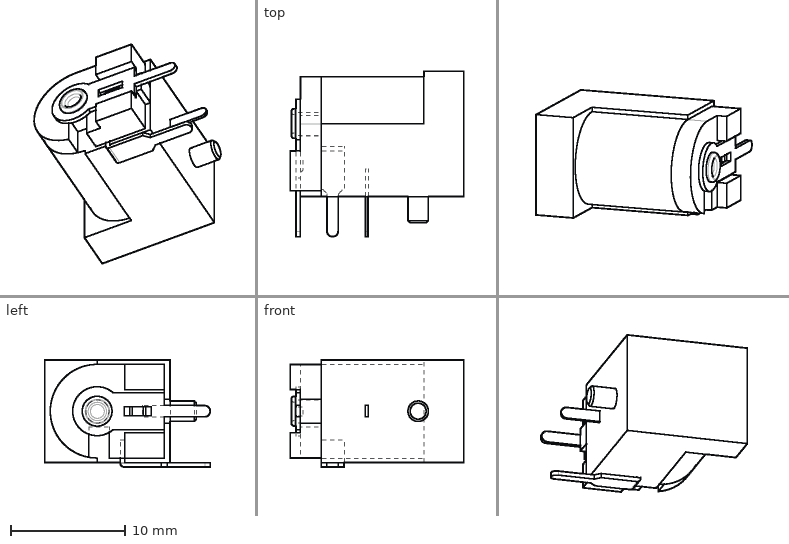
import cadquery as cq
import math


HOUSING_LENGTH = 12.5
HOUSING_HALF_HEIGHT = 4.5
HOUSING_FRONT_Y = -6.4
BARREL_RADIUS = 4.1
FLANGE_LENGTH = 3.5
FLANGE_BACK_Y = 4.59

PEG_RADIUS = 0.9
PEG_LENGTH = 2.3
PEG_CHAMFER = 0.2
PEG_X = HOUSING_LENGTH - 4.0

TAIL_END_Y = -9.91
TAIL_WIDTH = 1.0
TAIL_RADIUS = TAIL_WIDTH / 2
SHEET = 0.4
THIN_SHEET = 0.25

CAP_THICKNESS = 1.81
CAP_FRONT_Y = -5.9
CAP_REAR_X = -CAP_THICKNESS
EAR_RISE = SHEET + 0.5
EAR_BACK_Y = -2.4
EAR_GAP = 3.77
TONGUE_WIDTH = 2.1
NOTCH_BACK_Y = 0.71
NOTCH_FRONT_Y = -1.05
NOTCH_TOP_Z = -1.37

POCKET_BACK_Y = -2.87
POCKET_FRONT_Y = -4.25
POCKET_DEPTH = 0.2

PLATE_HEAD_RADIUS = 2.15
PLATE_WIDTH = 3.2
WINDOW_BACK_Y = -2.39
WINDOW_FRONT_Y = -4.75
WINDOW_HEIGHT = 0.79

PIN_HEAD_RADIUS = 1.3
PIN_HEAD_HEIGHT = 0.4
PIN_HEAD_FILLET = 0.25
PIN_RIM_INNER_RADIUS = 1.0
PIN_DISH_FILLET = PIN_HEAD_HEIGHT / 2
PIN_SHANK_RADIUS = 1.0

BOTTOM_WIDTH = 2.0
BOTTOM_BACK_Y = -2.0
BEND_RADIUS = 0.38
BOTTOM_LEG_HEIGHT = 2.0
BOTTOM_TAPER_Y = -5.62
BOTTOM_TAPER = (BOTTOM_WIDTH - TAIL_WIDTH) / 2

SWITCH_X = HOUSING_LENGTH - 8.5
SWITCH_DEPTH = 2.43


def box(x_range, y_range, z_range):
    """Box between the given pairs of coordinates."""
    size = [end - start for start, end in (x_range, y_range, z_range)]
    corner = cq.Vector(x_range[0], y_range[0], z_range[0])
    return cq.Workplane(cq.Solid.makeBox(*size, corner))


def barrel_section(x_start, length, front_y):
    """Block with a half-round back, swept along X."""
    return (
        cq.Workplane("YZ", origin=(x_start, 0, 0))
        .moveTo(front_y, -BARREL_RADIUS)
        .lineTo(0, -BARREL_RADIUS)
        .threePointArc((BARREL_RADIUS, 0), (0, BARREL_RADIUS))
        .lineTo(front_y, BARREL_RADIUS)
        .close()
        .extrude(length)
    )


def round_tail(plane, start_y, thickness):
    """Solder tail with a full-round end; its first sketch axis is Y, its width the second."""
    straight_end_y = TAIL_END_Y + TAIL_RADIUS
    return (
        cq.Workplane(plane)
        .moveTo(start_y, TAIL_RADIUS)
        .lineTo(straight_end_y, TAIL_RADIUS)
        .threePointArc((TAIL_END_Y, 0), (straight_end_y, -TAIL_RADIUS))
        .lineTo(start_y, -TAIL_RADIUS)
        .close()
        .extrude(thickness)
    )


def make_rear_contact():
    """Flat plate with a round head, a window and a solder tail."""
    head = cq.Workplane("YZ", origin=(CAP_REAR_X, 0, 0)).circle(PLATE_HEAD_RADIUS).extrude(-SHEET)
    plate_x = (CAP_REAR_X - SHEET, CAP_REAR_X)
    strip = box(plate_x, (CAP_FRONT_Y, 0), (-PLATE_WIDTH / 2, PLATE_WIDTH / 2))
    tail = round_tail(cq.Plane.named("YZ", (CAP_REAR_X, 0, 0)), CAP_FRONT_Y, -SHEET)
    window = box(plate_x, (WINDOW_FRONT_Y, WINDOW_BACK_Y), (-WINDOW_HEIGHT / 2, WINDOW_HEIGHT / 2))
    return head.union(strip).union(tail).cut(window)


def make_centre_pin():
    """Pin whose dished head bears on the rear contact and whose shank ends at the housing."""
    seat_x = CAP_REAR_X - SHEET
    rim_x = seat_x - PIN_HEAD_HEIGHT
    diagonal = math.sqrt(0.5)
    fillet_mid = PIN_HEAD_FILLET * (1 - diagonal)
    dish_near = PIN_DISH_FILLET * (1 - diagonal)
    dish_far = PIN_DISH_FILLET * diagonal
    dish_mid = (rim_x + PIN_DISH_FILLET, PIN_RIM_INNER_RADIUS - PIN_DISH_FILLET)
    dish_floor_radius = PIN_RIM_INNER_RADIUS - 2 * PIN_DISH_FILLET
    return (
        cq.Workplane("XY")
        .moveTo(0, 0)
        .lineTo(0, PIN_SHANK_RADIUS)
        .lineTo(seat_x, PIN_SHANK_RADIUS)
        .lineTo(seat_x, PIN_HEAD_RADIUS)
        .lineTo(rim_x + PIN_HEAD_FILLET, PIN_HEAD_RADIUS)
        .threePointArc(
            (rim_x + fillet_mid, PIN_HEAD_RADIUS - fillet_mid),
            (rim_x, PIN_HEAD_RADIUS - PIN_HEAD_FILLET),
        )
        .lineTo(rim_x, PIN_RIM_INNER_RADIUS)
        .threePointArc((rim_x + dish_near, PIN_RIM_INNER_RADIUS - dish_far), dish_mid)
        .threePointArc((seat_x - dish_near, dish_floor_radius + dish_far), (seat_x, dish_floor_radius))
        .lineTo(seat_x, 0)
        .close()
        .revolve(360, (0, 0, 0), (1, 0, 0))
    )


def make_bottom_contact():
    """L-shaped sheet: a leg up into the housing, a base under it and a solder tail."""
    top_z = BOTTOM_LEG_HEIGHT - HOUSING_HALF_HEIGHT
    base_z = -HOUSING_HALF_HEIGHT - SHEET
    leg_x = (0, BOTTOM_WIDTH)
    leg = box(leg_x, (BOTTOM_BACK_Y - SHEET, BOTTOM_BACK_Y), (base_z, top_z))
    leg = leg.edges(">Y and <Z").fillet(BEND_RADIUS)
    base = (
        cq.Workplane("XY", origin=(0, 0, base_z))
        .moveTo(0, BOTTOM_BACK_Y - SHEET)
        .lineTo(BOTTOM_WIDTH, BOTTOM_BACK_Y - SHEET)
        .lineTo(BOTTOM_WIDTH, BOTTOM_TAPER_Y)
        .lineTo(BOTTOM_WIDTH - BOTTOM_TAPER, BOTTOM_TAPER_Y - BOTTOM_TAPER)
        .lineTo(BOTTOM_TAPER, BOTTOM_TAPER_Y - BOTTOM_TAPER)
        .lineTo(0, BOTTOM_TAPER_Y)
        .close()
        .extrude(SHEET)
    )
    tail_plane = cq.Plane(origin=(BOTTOM_WIDTH / 2, 0, base_z), xDir=(0, 1, 0), normal=(0, 0, 1))
    tail = round_tail(tail_plane, BOTTOM_TAPER_Y, SHEET)
    return leg.union(base).union(tail)


def make_switch_contact():
    """Thin straight blade with a solder tail."""
    start_y = HOUSING_FRONT_Y + SWITCH_DEPTH
    tail_plane = cq.Plane.named("YZ", (SWITCH_X - THIN_SHEET / 2, 0, 0))
    return round_tail(tail_plane, start_y, THIN_SHEET)


def make_rear_cap(centre_pin):
    """Cap closing the back of the barrel, with ears beside the rear contact."""
    cap = barrel_section(CAP_REAR_X, CAP_THICKNESS, CAP_FRONT_Y)
    ears = box(
        (CAP_REAR_X - EAR_RISE, CAP_REAR_X),
        (CAP_FRONT_Y, EAR_BACK_Y),
        (-BARREL_RADIUS, BARREL_RADIUS),
    )
    gap = box(
        (CAP_REAR_X - EAR_RISE, CAP_REAR_X),
        (CAP_FRONT_Y, EAR_BACK_Y),
        (-EAR_GAP / 2, EAR_GAP / 2),
    )
    tongue = box(
        (CAP_REAR_X, 0),
        (HOUSING_FRONT_Y, CAP_FRONT_Y),
        (-TONGUE_WIDTH / 2, TONGUE_WIDTH / 2),
    )
    notch = box((CAP_REAR_X, 0), (NOTCH_FRONT_Y, NOTCH_BACK_Y), (-BARREL_RADIUS, NOTCH_TOP_Z))
    pocket = (
        cq.Workplane("XY", origin=(0, 0, -WINDOW_HEIGHT / 2))
        .moveTo(CAP_REAR_X, POCKET_BACK_Y)
        .lineTo(CAP_REAR_X + POCKET_DEPTH, POCKET_BACK_Y - POCKET_DEPTH)
        .lineTo(CAP_REAR_X + POCKET_DEPTH, POCKET_FRONT_Y + POCKET_DEPTH)
        .lineTo(CAP_REAR_X, POCKET_FRONT_Y)
        .close()
        .extrude(WINDOW_HEIGHT)
    )
    cap = cap.union(ears.cut(gap)).union(tongue)
    return cap.cut(notch).cut(pocket).cut(centre_pin)


def make_housing(bottom_contact, switch_contact):
    """Block with a half-round barrel, a front flange and a locating peg, slotted for the contacts."""
    height_range = (-HOUSING_HALF_HEIGHT, HOUSING_HALF_HEIGHT)
    block = box((0, HOUSING_LENGTH), (HOUSING_FRONT_Y, 0), height_range)
    barrel = barrel_section(0, HOUSING_LENGTH, HOUSING_FRONT_Y)
    flange_x = (HOUSING_LENGTH - FLANGE_LENGTH, HOUSING_LENGTH)
    flange = box(flange_x, (HOUSING_FRONT_Y, FLANGE_BACK_Y), height_range)
    peg = (
        cq.Workplane("XZ", origin=(PEG_X, HOUSING_FRONT_Y, 0))
        .circle(PEG_RADIUS)
        .extrude(PEG_LENGTH)
        .faces("<Y")
        .chamfer(PEG_CHAMFER)
    )
    housing = block.union(barrel).union(flange).union(peg)
    return housing.cut(bottom_contact).cut(switch_contact)


rear_contact = make_rear_contact()
centre_pin = make_centre_pin()
rear_contact = rear_contact.cut(centre_pin)
bottom_contact = make_bottom_contact()
switch_contact = make_switch_contact()
rear_cap = make_rear_cap(centre_pin)
housing = make_housing(bottom_contact, switch_contact)

result = cq.Compound.makeCompound([
    housing.val(),
    rear_cap.val(),
    rear_contact.val(),
    centre_pin.val(),
    bottom_contact.val(),
    switch_contact.val(),
])